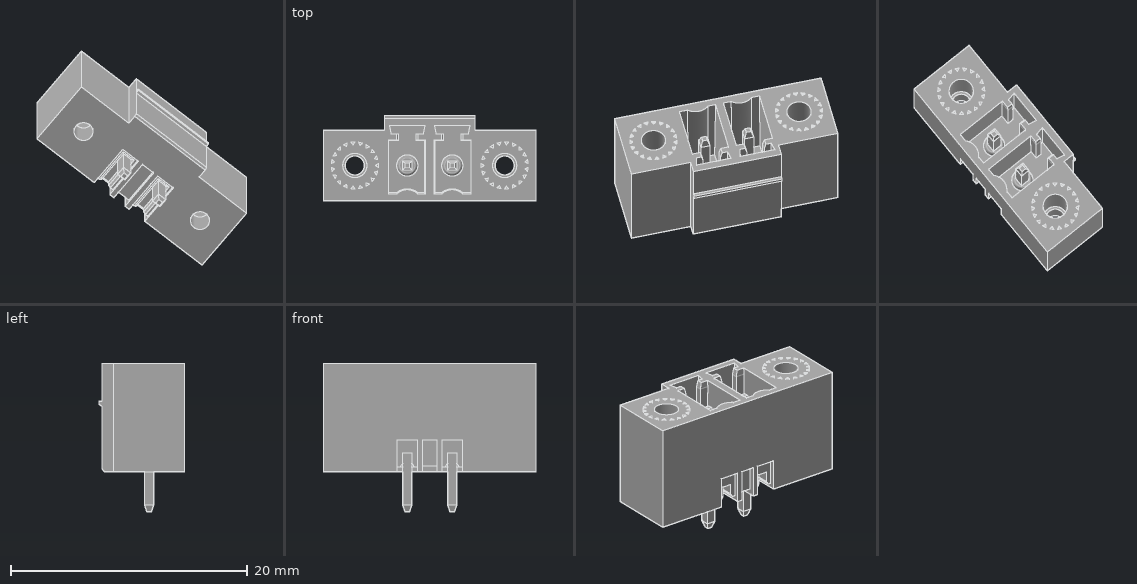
import cadquery as cq
import math

body_length = 18.02
body_front = -3.0
body_back = 3.0
body_height = 9.2

pin_pitch = 3.81
pin_positions = (-pin_pitch / 2, pin_pitch / 2)
outward_sides = (-1, 1)

block_length = 7.67
block_back = 4.0
block_edge_chamfer = (0.25, 0.2)
ridge_depth = 0.25
ridge_top = 6.0
ridge_nose_bottom = 5.7
ridge_bottom = 5.55

pocket_floor = 2.2
pocket_outer_half = 1.59
pocket_inner_half = 1.56
pocket_front = -2.4
pocket_back = 2.12
wall_draft = 0.11
key_slot_width = 1.52
dovetail_front = 2.66
dovetail_back = 3.38
dovetail_neck_width = 2.72
dovetail_width = 3.0
lead_in_height = 0.56
lead_in_side = 0.14
lead_in_back = 0.06
bump_center_y = -3.35
bump_top_radius = 1.3
bump_floor_radius = 1.37

pin_width = 0.8
pin_tip_width = 0.4
pin_bottom = -3.4
pin_top = 8.0
pin_taper = 0.6
collar_diameter = 1.8
collar_fillet = 0.25
collar_height = 0.5

hole_spacing = 12.7
hole_diameter = 1.6
counterbore_diameter = 2.05
counterbore_depth = 6.0
mark_count = 19
mark_outer_radius = 1.99
mark_length = 0.23
mark_width = 0.34
mark_depth = 0.1

notch_height = 2.7
recess_back = 0.85
pin_notch_width = 1.7
pin_notch_depth = 0.4
pin_recess_height = 0.4
middle_notch_width = 1.22
middle_notch_depth = 0.5
middle_recess_height = 0.475
slot_top = 1.6
funnel_top = 0.7
funnel_width = 1.2


def box(x_range, y_range, z_range):
    """Axis-aligned block between the given limits."""
    sizes = [high - low for low, high in (x_range, y_range, z_range)]
    corner = cq.Vector(x_range[0], y_range[0], z_range[0])
    return cq.Workplane(cq.Solid.makeBox(*sizes, corner))


def centered(middle, width):
    """Limits of a span of the given width around its middle."""
    return (middle - width / 2, middle + width / 2)


def tapered_block(low_x, low_y, low_z, high_x, high_y, high_z):
    """Block that blends from a lower rectangle to an upper rectangle."""
    wires = []
    for (x0, x1), (y0, y1), z in ((low_x, low_y, low_z), (high_x, high_y, high_z)):
        corners = [cq.Vector(x, y, z) for x, y in ((x0, y0), (x1, y0), (x1, y1), (x0, y1))]
        wires.append(cq.Wire.makePolygon(corners, close=True))
    return cq.Workplane(cq.Solid.makeLoft(wires, True))


def housing():
    """Rectangular body with the ridged block on its back."""
    body = box(centered(0, body_length), (body_front, body_back), (0, body_height))
    chamfer_rise, chamfer_run = block_edge_chamfer
    ridge_back = block_back + ridge_depth
    profile = [
        (0, 0),
        (block_back - chamfer_run, 0),
        (block_back, chamfer_rise),
        (block_back, ridge_bottom),
        (ridge_back, ridge_nose_bottom),
        (ridge_back, ridge_top),
        (block_back, ridge_top),
        (block_back, body_height),
        (0, body_height),
    ]
    block = cq.Workplane("YZ").polyline(profile).close().extrude(block_length / 2, both=True)
    return body.union(block)


def pocket(x, outward):
    """Plug space around one pin: drafted chamber, keyed slot and dovetail behind it."""
    outer_wall = x + outward * pocket_outer_half
    inner_wall = x - outward * pocket_inner_half
    top_x = sorted((outer_wall, inner_wall))
    floor_x = sorted((outer_wall, inner_wall + outward * wall_draft))
    chamber = tapered_block(
        floor_x, (pocket_front + wall_draft, pocket_back), pocket_floor,
        top_x, (pocket_front, pocket_back), body_height,
    )
    bump = cq.Workplane(cq.Solid.makeCone(
        bump_floor_radius, bump_top_radius, body_height - pocket_floor,
        cq.Vector(x, bump_center_y, pocket_floor),
    ))

    slot_y = (0, dovetail_front)
    slot_x = centered(x, key_slot_width)
    key_slot = box(slot_x, slot_y, (pocket_floor, body_height))
    lead_in_start = body_height - lead_in_height
    slot_lead_in = tapered_block(
        slot_x, slot_y, lead_in_start,
        centered(x, key_slot_width + 2 * lead_in_side), slot_y, body_height,
    )
    inner_at_lead_in = inner_wall + outward * wall_draft * lead_in_height / (body_height - pocket_floor)
    chamber_lead_in = tapered_block(
        sorted((outer_wall, inner_at_lead_in)), (0, pocket_back), lead_in_start,
        top_x, (0, pocket_back + lead_in_back), body_height,
    )

    dovetail_outline = [
        (x - dovetail_neck_width / 2, dovetail_front),
        (x + dovetail_neck_width / 2, dovetail_front),
        (x + dovetail_width / 2, dovetail_back),
        (x - dovetail_width / 2, dovetail_back),
    ]
    dovetail = (
        cq.Workplane("XY", origin=(0, 0, pocket_floor))
        .polyline(dovetail_outline).close()
        .extrude(body_height - pocket_floor)
    )
    space = chamber.cut(bump)
    for part in (key_slot, slot_lead_in, chamber_lead_in, dovetail):
        space = space.union(part)
    return space


def flange_hole(x):
    """Screw hole through the flange, wider from the top."""
    hole = cq.Workplane("XY").center(x, 0).circle(hole_diameter / 2).extrude(body_height)
    counterbore = (
        cq.Workplane("XY", origin=(x, 0, body_height))
        .circle(counterbore_diameter / 2)
        .extrude(-counterbore_depth)
    )
    return hole.union(counterbore)


def mark_ring(x, start_angle):
    """Ring of shallow triangles that point at the screw hole."""
    marks = cq.Workplane("XY", origin=(x, 0, body_height))
    tip_radius = mark_outer_radius - mark_length
    for index in range(mark_count):
        angle = start_angle + index * 360 / mark_count
        cosine = math.cos(math.radians(angle))
        sine = math.sin(math.radians(angle))
        triangle = []
        for radial, across in (
            (tip_radius, 0),
            (mark_outer_radius, mark_width / 2),
            (mark_outer_radius, -mark_width / 2),
        ):
            triangle.append((radial * cosine - across * sine, radial * sine + across * cosine))
        marks = marks.polyline(triangle).close()
    return marks.extrude(-mark_depth)


def underside_notch(x, width, depth, recess_height):
    """Shallow notch in the front wall with a deeper recess along the underside."""
    notch = box(centered(x, width), (body_front, body_front + depth), (0, notch_height))
    recess = box(centered(x, width), (body_front, recess_back), (0, recess_height))
    return notch.union(recess)


def pin_entry(x):
    """Slot from the front notch to the pin, with a funnel around the pin's underside."""
    slot = box(centered(x, pin_width), (body_front, 0), (0, slot_top))
    narrow = centered(x, pin_width)
    wide = centered(x, funnel_width)
    funnel = tapered_block(
        wide, (body_front, funnel_width / 2), pin_recess_height,
        narrow, (body_front, pin_width / 2), funnel_top,
    )
    return slot.union(funnel)


def pin(x):
    """Square contact pin with a blunt pyramid at each end."""
    shank_low = pin_bottom + pin_taper
    shank_high = pin_top - pin_taper
    side_x = centered(x, pin_width)
    side_y = centered(0, pin_width)
    tip_x = centered(x, pin_tip_width)
    tip_y = centered(0, pin_tip_width)
    shank = box(side_x, side_y, (shank_low, shank_high))
    lower_tip = tapered_block(tip_x, tip_y, pin_bottom, side_x, side_y, shank_low)
    upper_tip = tapered_block(side_x, side_y, shank_high, tip_x, tip_y, pin_top)
    return shank.union(lower_tip).union(upper_tip)


def collar(x):
    """Rounded collar on the pocket floor around the pin."""
    return (
        cq.Workplane("XY", origin=(x, 0, pocket_floor))
        .circle(collar_diameter / 2)
        .extrude(collar_height)
        .faces(">Z").edges().fillet(collar_fillet)
    )


connector = housing()

for pin_x, side in zip(pin_positions, outward_sides):
    connector = connector.cut(pocket(pin_x, side))
    connector = connector.cut(flange_hole(side * hole_spacing / 2))
    first_mark_angle = 90 + 90 * side
    connector = connector.cut(mark_ring(side * hole_spacing / 2, first_mark_angle))
    connector = connector.cut(underside_notch(pin_x, pin_notch_width, pin_notch_depth, pin_recess_height))
    connector = connector.cut(pin_entry(pin_x))

connector = connector.cut(
    underside_notch(0, middle_notch_width, middle_notch_depth, middle_recess_height)
)

for pin_x in pin_positions:
    connector = connector.union(collar(pin_x)).union(pin(pin_x))

result = connector